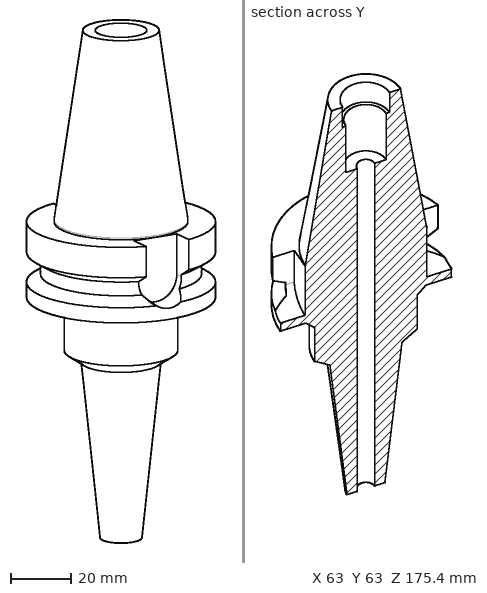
import cadquery as cq

total_height = 175.4
flange_diameter = 63.0
flange_radius = flange_diameter / 2

taper_length = 65.5
taper_large_radius = 22.3
taper_small_radius = taper_large_radius - taper_length * 7 / 48
taper_base_z = total_height - taper_length

relief_height = 0.7
flange_top_z = taper_base_z - relief_height
flange_height = 26.1
flange_bottom_z = flange_top_z - flange_height
upper_rim_height = 10.5
lower_rim_height = 5.3
groove_radius = 26.8
groove_side_height = 2.8
groove_top_z = flange_top_z - upper_rim_height
groove_bottom_z = flange_bottom_z + lower_rim_height

collar_radius = 19.0
collar_top_z = 80.0
collar_bottom_z = 64.7
collar_root_radius = collar_radius + flange_bottom_z - collar_top_z
nose_top_z = 60.9
nose_large_radius = 13.3
nose_tip_radius = 7.0

mouth_radius = 8.6
mouth_depth = 9.0
thread_bore_radius = 7.4
thread_bore_depth = 29.8
through_radius = 3.2

slot_width = 16.5
slot_floor_x = 22.5
slot_bottom_z = 87.0
slot_center_z = slot_bottom_z + slot_width / 2


def make_body():
    """Revolve the outer profile, given as (radius, height), about Z."""
    profile = [
        (0, 0),
        (nose_tip_radius, 0),
        (nose_large_radius, nose_top_z),
        (collar_radius, collar_bottom_z),
        (collar_radius, collar_top_z),
        (collar_root_radius, flange_bottom_z),
        (flange_radius, flange_bottom_z),
        (flange_radius, groove_bottom_z),
        (groove_radius, groove_bottom_z + groove_side_height),
        (groove_radius, groove_top_z - groove_side_height),
        (flange_radius, groove_top_z),
        (flange_radius, flange_top_z),
        (taper_large_radius, flange_top_z),
        (taper_large_radius, taper_base_z),
        (taper_small_radius, total_height),
        (0, total_height),
    ]
    return cq.Workplane("XZ").polyline(profile).close().revolve(360, (0, 0), (0, 1))


def bore(radius, depth):
    """Cylinder reaching down from the top face."""
    return cq.Workplane("XY").workplane(offset=total_height).circle(radius).extrude(-depth)


def drive_slot(side):
    """Round-bottomed slot cutter, open upwards and outwards; side is -1 or +1."""
    half_width = slot_width / 2
    return (
        cq.Workplane("YZ")
        .workplane(offset=side * slot_floor_x)
        .moveTo(-half_width, flange_top_z)
        .lineTo(-half_width, slot_center_z)
        .threePointArc((0, slot_bottom_z), (half_width, slot_center_z))
        .lineTo(half_width, flange_top_z)
        .close()
        .extrude(side * flange_radius)
    )


result = make_body()

for radius, depth in [
    (mouth_radius, mouth_depth),
    (thread_bore_radius, thread_bore_depth),
    (through_radius, total_height),
]:
    result = result.cut(bore(radius, depth))

for side in (-1, 1):
    result = result.cut(drive_slot(side))